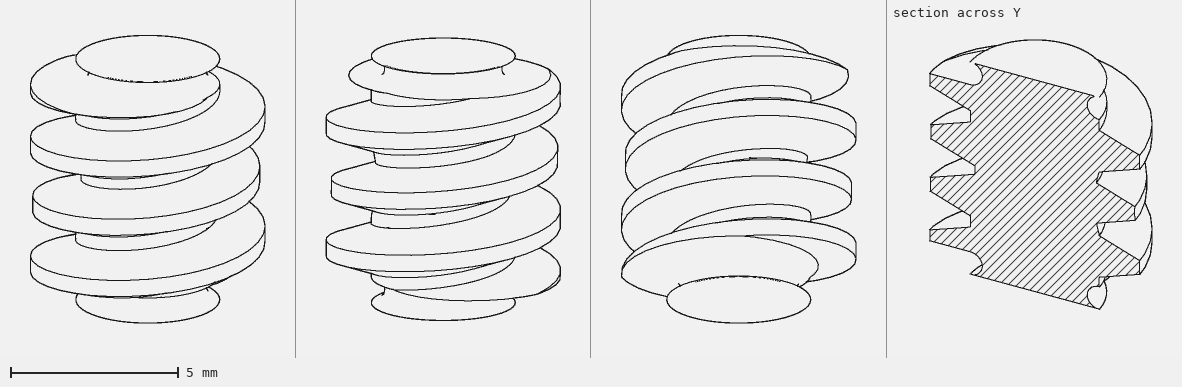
import cadquery as cq
import math

total_height = 7.6
threaded_height = 6.005
outer_radius = 3.5
root_radius = 2.15

module = 0.6
pressure_angle = math.radians(20)
pitch = math.pi * module
pitch_radius = outer_radius - module
flank_slope = math.tan(pressure_angle)
pitch_thickness = pitch / 2
lead_angle = math.atan2(pitch, 2 * math.pi * pitch_radius)

wheel_distance = 6.08
throat_depth = 0.16
waist_facets = 8

facets_per_turn = 36
facet_angle = 360 / facets_per_turn
facet_phase = 6.0
thread_drop = 0.02
spare_turns = 0.7

root_overlap = 0.305

half_height = total_height / 2
half_threaded = threaded_height / 2
neck_groove_radius = (total_height - threaded_height) / 4


def throat_half_height(radius):
    """Half the length over which the waist cuts into a cylinder of this radius."""
    wheel_radius = wheel_distance - radius + throat_depth
    return math.sqrt(wheel_radius**2 - (wheel_distance - radius) ** 2)


def waist_offset(z, radius):
    """Inward shift at height z of the waist cut into a cylinder of this radius."""
    if abs(z) >= throat_half_height(radius):
        return 0.0
    wheel_radius = wheel_distance - radius + throat_depth
    return radius - wheel_distance + math.sqrt(wheel_radius**2 - z**2)


def make_core():
    """Revolved core: waisted root cylinder with a half-round groove in each neck."""
    waist_start = -throat_half_height(root_radius)
    waist_step = -2 * waist_start / waist_facets
    heights = [waist_start + i * waist_step for i in range(1, waist_facets)]
    waist = [(root_radius - waist_offset(z, root_radius), z) for z in heights]
    neck_centre = half_threaded + neck_groove_radius
    neck_radius = root_radius - neck_groove_radius
    profile = (
        cq.Workplane("XZ")
        .moveTo(0, -half_height)
        .lineTo(root_radius, -half_height)
        .threePointArc((neck_radius, -neck_centre), (root_radius, -half_threaded))
        .lineTo(root_radius, waist_start)
        .polyline(waist, includeCurrent=True)
        .lineTo(root_radius, -waist_start)
        .lineTo(root_radius, half_threaded)
        .threePointArc((neck_radius, neck_centre), (root_radius, half_height))
        .lineTo(0, half_height)
        .close()
    )
    return profile.revolve(360, (0, 0, 0), (0, 1, 0))


def thread_section(angle):
    """Trapezoid tooth section at this angle, set square to the helix."""
    z = pitch * angle / 360 - thread_drop
    shift = waist_offset(z, pitch_radius)
    crest = outer_radius - shift
    base = root_radius - root_overlap - shift
    half_crest = pitch_thickness / 2 - module * flank_slope
    half_base = half_crest + (crest - base) * flank_slope

    turn = math.radians(angle)
    radial = cq.Vector(math.cos(turn), math.sin(turn), 0)
    tangent = cq.Vector(-math.sin(turn), math.cos(turn), 0)
    across = cq.Vector(0, 0, math.cos(lead_angle)) - tangent * math.sin(lead_angle)
    centre = cq.Vector(0, 0, z)
    corners = [(base, -half_base), (crest, -half_crest), (crest, half_crest), (base, half_base)]
    return cq.Wire.makePolygon([centre + radial * r + across * w for r, w in corners], close=True)


def make_thread():
    """Right-handed thread, run past both ends and trimmed flat at the threaded length."""
    half_turns = half_threaded / pitch + spare_turns
    half_facets = math.ceil(half_turns * facets_per_turn)
    facets = range(-half_facets, half_facets)
    sections = [thread_section(facet_phase + i * facet_angle) for i in facets]
    thread = cq.Workplane(cq.Solid.makeLoft(sections, True))
    trim = cq.Workplane("XY").circle(2 * outer_radius).extrude(half_threaded, both=True)
    return thread.intersect(trim)


result = make_core().union(make_thread())